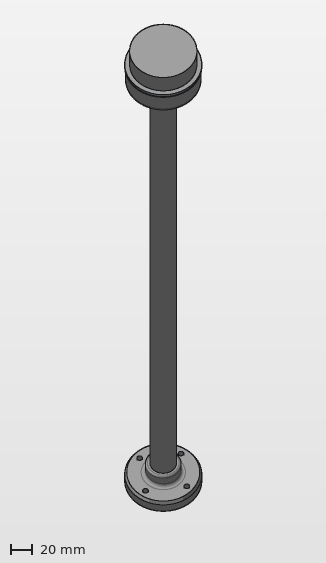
import cadquery as cq

total_height = 645.5
outer_diameter = 71.0
pole_diameter = 24.5

flange_height = 13.0
flange_bevel_height = 3.0
flange_bevel_width = 2.0
hole_count = 4
hole_diameter = 5.2
hole_circle_radius = 27.0

collar_diameter = 33.0
collar_top = 27.0
collar_top_round = 2.0
collar_foot_round = 4.0

cap_diameter = 62.0
cap_height = 20.0
rim_height = 4.0
housing_diameter = 70.0
housing_height = 23.0
housing_bottom_round = 5.0

rim_top = total_height - cap_height
rim_bottom = rim_top - rim_height
housing_bottom = rim_bottom - housing_height


def cylinder(diameter, bottom, top):
    """Upright cylinder on the Z axis between two heights."""
    return cq.Workplane("XY").workplane(offset=bottom).circle(diameter / 2).extrude(top - bottom)


def make_base():
    """Bevelled flange and rounded collar, with mounting holes on the X and Y axes."""
    flange = cylinder(outer_diameter, 0, flange_height)
    flange = flange.faces(">Z").edges().chamfer(flange_bevel_height, flange_bevel_width)
    collar = cylinder(collar_diameter, 0, collar_top)
    collar = collar.faces(">Z").edges().fillet(collar_top_round)
    collar_radius = collar_diameter / 2
    foot = (
        cq.Workplane("XZ")
        .moveTo(0, flange_height)
        .lineTo(collar_radius + collar_foot_round, flange_height)
        .radiusArc((collar_radius, flange_height + collar_foot_round), collar_foot_round)
        .lineTo(0, flange_height + collar_foot_round)
        .close()
        .revolve(360, (0, 0, 0), (0, 1, 0))
    )
    base = flange.union(collar).union(foot)
    holes = (
        cq.Workplane("XY")
        .polarArray(hole_circle_radius, 0, 360, hole_count)
        .circle(hole_diameter / 2)
        .extrude(flange_height)
    )
    return base.cut(holes)


def make_head():
    """Housing with a rounded underside, a projecting rim and a narrower cap."""
    housing = cylinder(housing_diameter, housing_bottom, rim_top)
    housing = housing.faces("<Z").edges().fillet(housing_bottom_round)
    rim = cylinder(outer_diameter, rim_bottom, rim_top)
    cap = cylinder(cap_diameter, rim_top, total_height)
    return housing.union(rim).union(cap)


pole = cylinder(pole_diameter, 0, rim_top)
result = make_base().union(pole).union(make_head())